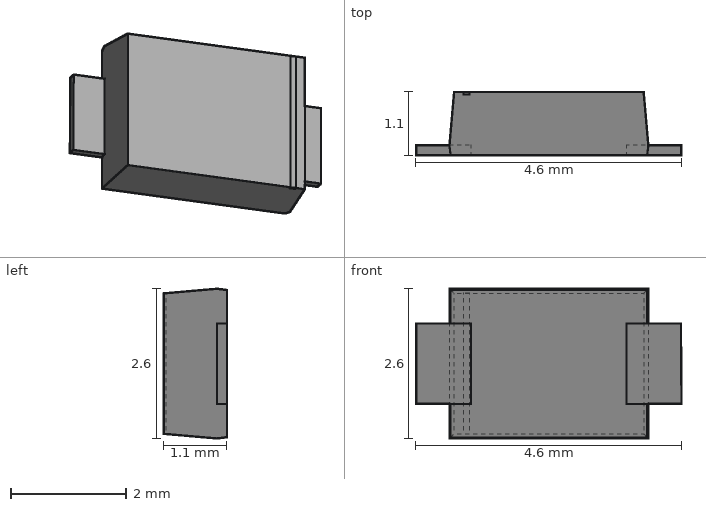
import cadquery as cq
import math

span = 4.6
depth = 1.1
body_length = 3.45
body_height = 2.6
draft_angle = 5.0
front_inset = 0.025

lead_length = 0.95
lead_height = 1.4
lead_thickness = 0.175
end_skew = 0.01

band_width = 0.1
band_depth = 0.04
band_x = -1.425

front_y = -depth / 2
back_y = depth / 2
parting_y = front_y + lead_thickness


def tapered_block(start_y, end_y, inset):
    """Block from the full outline at start_y to one inset on every side at end_y."""
    return (
        cq.Workplane("XZ", origin=(0, start_y, 0))
        .rect(body_length, body_height)
        .workplane(offset=start_y - end_y)
        .rect(body_length - 2 * inset, body_height - 2 * inset)
        .loft(combine=True, ruled=True)
    )


def make_molded_shape():
    """Plastic outline with draft on both sides of the parting line."""
    back_inset = (back_y - parting_y) * math.tan(math.radians(draft_angle))
    back_half = tapered_block(parting_y, back_y, back_inset)
    front_half = tapered_block(parting_y, front_y, front_inset)
    return back_half.union(front_half)


def make_lead(side, skew):
    """Flat lead on the -X (side = -1) or +X (side = 1) end, its upper outer corner drawn in by skew."""
    outer_x = side * span / 2
    inner_x = side * (span / 2 - lead_length)
    top_z = lead_height / 2
    outline = [
        (inner_x, -top_z),
        (outer_x, -top_z),
        (outer_x - side * skew, top_z),
        (inner_x, top_z),
    ]
    return cq.Workplane("XZ", origin=(0, parting_y, 0)).polyline(outline).close().extrude(lead_thickness)


def make_band(molded_shape):
    """Band across the back face, with ends following the drafted walls."""
    strip = cq.Workplane("XY").box(band_width, band_depth, body_height).translate(
        (band_x, back_y - band_depth / 2, 0)
    )
    return molded_shape.intersect(strip)


def make_housing(molded_shape, inlays):
    """Molded plastic with a matching recess for each inlaid body."""
    housing = molded_shape
    for inlay in inlays:
        housing = housing.cut(inlay)
    return housing


molded_shape = make_molded_shape()
leads = [make_lead(side, skew) for side, skew in ((-1, 0), (1, end_skew))]
band = make_band(molded_shape)
housing = make_housing(molded_shape, leads + [band])

result = cq.Compound.makeCompound([housing.val(), band.val(), *[lead.val() for lead in leads]])